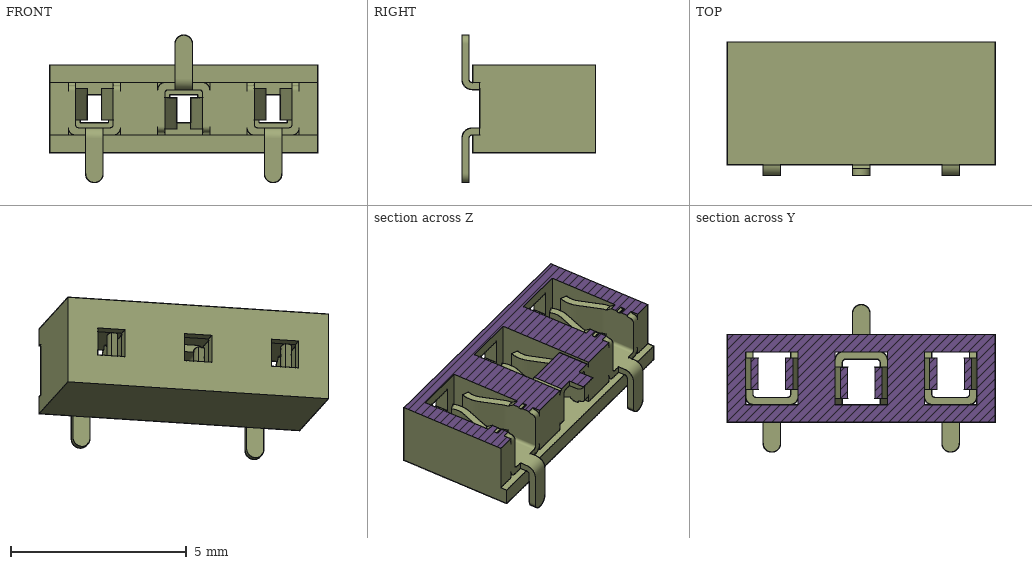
import cadquery as cq
import math

LENGTH = 7.62
DEPTH = 3.5
HEIGHT = 2.5
CHANNEL_DEPTH = 0.2
CHANNEL_HALF_HEIGHT = 0.75
REAR_WALL = 0.4
PIN_HOLE = 0.79
PITCH = LENGTH / 3
CAVITY_HALF_WIDTH = 0.74

SHEET = 0.205
BEND_INNER_RADIUS = 0.09
SHELL_OUTER_RADIUS = SHEET
SHELL_LENGTH = 0.94
INNER_HALF_WIDTH = CAVITY_HALF_WIDTH - SHEET
BASE_TOP = SHEET - CHANNEL_HALF_HEIGHT
SHELL_START = CHANNEL_DEPTH
SHELL_END = SHELL_START + SHELL_LENGTH

NOSE_RADIUS = 0.145
NOSE_ROOT_RADIUS = 0.09
FIRST_BARB_END = 0.37
BARB_VALLEY = 0.5
BARB_VALLEY_DEPTH = 0.08
SECOND_BARB_START = 0.67
SECOND_BARB_END = 0.71

ARM_TOP = 0.58
ARM_BOTTOM = -0.32
ARM_ANGLE = 21.0
TIP_RADIUS = 0.76
ARM_HALF_GAP = 0.2
ARM_BEND_RADIUS = 0.38

TAIL_WIDTH = 0.5
TAIL_REACH = 0.305
TAIL_SPAN = 4.2
TAIL_TIP = TAIL_SPAN / 2


def make_housing():
    """Block with a front channel and three contact cavities opening into pin holes."""
    block = cq.Workplane("XY").box(LENGTH, DEPTH, HEIGHT, centered=(True, False, True))
    channel = cq.Workplane("XY").box(
        LENGTH, CHANNEL_DEPTH, 2 * CHANNEL_HALF_HEIGHT, centered=(True, False, True)
    )
    housing = block.cut(channel)
    for position in (-1, 0, 1):
        cavity = cq.Workplane("XY").box(
            2 * CAVITY_HALF_WIDTH,
            DEPTH - REAR_WALL,
            2 * CHANNEL_HALF_HEIGHT,
            centered=(True, False, True),
        )
        pin_hole = cq.Workplane("XY").box(PIN_HOLE, DEPTH, PIN_HOLE, centered=(True, False, True))
        opening = cavity.union(pin_hole).translate((position * PITCH, 0, 0))
        housing = housing.cut(opening)
    return housing


def make_shell():
    """U-shaped clip body, with its free edges trimmed to the nose and barb outline."""
    height = 2 * CHANNEL_HALF_HEIGHT
    outer = (
        cq.Workplane("XY")
        .box(2 * CAVITY_HALF_WIDTH, SHELL_LENGTH, height, centered=(True, False, True))
        .edges("|Y and <Z")
        .fillet(SHELL_OUTER_RADIUS)
    )
    inner = (
        cq.Workplane("XY")
        .box(2 * INNER_HALF_WIDTH, SHELL_LENGTH, height, centered=(True, False, True))
        .edges("|Y and <Z")
        .fillet(BEND_INNER_RADIUS)
        .translate((0, 0, SHEET))
    )
    top = CHANNEL_HALF_HEIGHT
    shoulder = top - NOSE_ROOT_RADIUS
    nose_start = shoulder - NOSE_RADIUS
    diagonal = math.sqrt(0.5)
    side = (
        cq.Workplane("YZ")
        .moveTo(0, -top)
        .lineTo(0, nose_start)
        .threePointArc(
            (NOSE_RADIUS * (1 - diagonal), nose_start + NOSE_RADIUS * diagonal),
            (NOSE_RADIUS, shoulder),
        )
        .threePointArc(
            (NOSE_RADIUS + NOSE_ROOT_RADIUS * diagonal, top - NOSE_ROOT_RADIUS * diagonal),
            (NOSE_RADIUS + NOSE_ROOT_RADIUS, top),
        )
        .lineTo(FIRST_BARB_END, top)
        .lineTo(BARB_VALLEY, top - BARB_VALLEY_DEPTH)
        .lineTo(SECOND_BARB_START, top)
        .lineTo(SECOND_BARB_END, top)
        .lineTo(SHELL_LENGTH, ARM_TOP)
        .lineTo(SHELL_LENGTH, -top)
        .close()
        .extrude(CAVITY_HALF_WIDTH, both=True)
    )
    return outer.cut(inner).intersect(side).translate((0, SHELL_START, 0))


def make_arm():
    """Right-hand spring arm: a bend, a blade sloping inwards and a tip curving back out."""
    angle = math.radians(ARM_ANGLE)
    bend_center_x = INNER_HALF_WIDTH - ARM_BEND_RADIUS
    bend_outer_radius = ARM_BEND_RADIUS + SHEET
    tip_center_x = ARM_HALF_GAP + TIP_RADIUS
    tip_outer_radius = TIP_RADIUS - SHEET

    def on_bend(radius, turn):
        return (bend_center_x + radius * math.cos(turn), SHELL_END + radius * math.sin(turn))

    blade_start_x, blade_start_y = on_bend(ARM_BEND_RADIUS, angle)
    blade_end_x = tip_center_x - TIP_RADIUS * math.cos(angle)
    blade_end_y = blade_start_y + (blade_start_x - blade_end_x) / math.tan(angle)
    tip_center_y = blade_end_y + TIP_RADIUS * math.sin(angle)

    def on_tip(radius, turn):
        return (tip_center_x - radius * math.cos(turn), tip_center_y + radius * math.sin(turn))

    return (
        cq.Workplane("XY")
        .workplane(offset=ARM_BOTTOM)
        .moveTo(INNER_HALF_WIDTH, SHELL_END)
        .threePointArc(on_bend(ARM_BEND_RADIUS, angle / 2), (blade_start_x, blade_start_y))
        .lineTo(blade_end_x, blade_end_y)
        .threePointArc(on_tip(TIP_RADIUS, 0), on_tip(TIP_RADIUS, angle))
        .lineTo(*on_tip(tip_outer_radius, angle))
        .threePointArc(on_tip(tip_outer_radius, 0), on_tip(tip_outer_radius, -angle))
        .lineTo(*on_bend(bend_outer_radius, angle))
        .threePointArc(on_bend(bend_outer_radius, angle / 2), (CAVITY_HALF_WIDTH, SHELL_END))
        .close()
        .extrude(ARM_TOP - ARM_BOTTOM)
    )


def make_tail():
    """Solder tail: leaves the base forwards, bends down and ends in a full round."""
    bottom = -CHANNEL_HALF_HEIGHT
    back_of_leg = SHEET - TAIL_REACH
    outer_radius = BEND_INNER_RADIUS + SHEET
    bend_center_y = outer_radius - TAIL_REACH
    bend_center_z = BASE_TOP - outer_radius
    diagonal = math.sqrt(0.5)

    def mid_bend(radius):
        return (bend_center_y - radius * diagonal, bend_center_z + radius * diagonal)

    strip = (
        cq.Workplane("YZ")
        .moveTo(SHELL_START, bottom)
        .lineTo(SHELL_START, BASE_TOP)
        .lineTo(bend_center_y, BASE_TOP)
        .threePointArc(mid_bend(outer_radius), (-TAIL_REACH, bend_center_z))
        .lineTo(-TAIL_REACH, -TAIL_TIP)
        .lineTo(back_of_leg, -TAIL_TIP)
        .lineTo(back_of_leg, bend_center_z)
        .threePointArc(mid_bend(BEND_INNER_RADIUS), (bend_center_y, bottom))
        .close()
        .extrude(TAIL_WIDTH / 2, both=True)
    )
    tip_radius = TAIL_WIDTH / 2
    tip_center = tip_radius - TAIL_TIP
    front_outline = (
        cq.Workplane("XZ")
        .moveTo(-tip_radius, 0)
        .lineTo(-tip_radius, tip_center)
        .threePointArc((0, -TAIL_TIP), (tip_radius, tip_center))
        .lineTo(tip_radius, 0)
        .close()
        .extrude(DEPTH, both=True)
    )
    return strip.intersect(front_outline)


def make_contact():
    """Complete contact with its tail pointing down."""
    arm = make_arm()
    return make_shell().union(arm).union(arm.mirror("YZ")).union(make_tail())


contact = make_contact()
turned_contact = contact.rotate((0, 0, 0), (0, 1, 0), 180)

result = (
    make_housing()
    .union(contact.translate((-PITCH, 0, 0)))
    .union(turned_contact)
    .union(contact.translate((PITCH, 0, 0)))
)